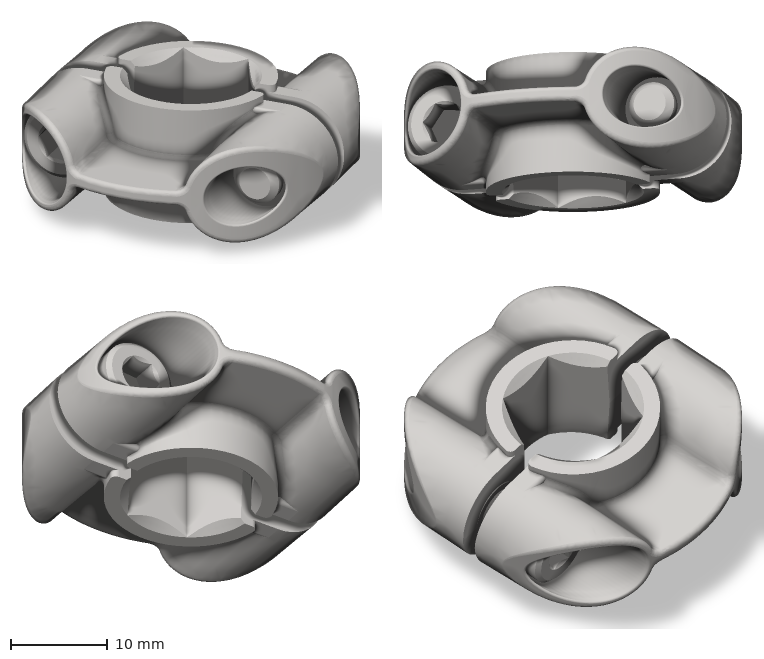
import cadquery as cq
import math

outer_radius = 17.45
hex_flats = 12.7
collar_height = hex_flats
collar_radius = 9.0
collar_corner_fillet = 0.63
lead_in_angle = 45.0
half_gap = 0.77
face_draft = 2.0
wall_draft = 1.0
screw_offset = 11.4
barrel_radius = 5.55
bridge_depth = 3.28
bridge_round = 0.5
web_edge_thickness = 1.45
root_fillet = 1.08
edge_fillet = 0.5
foot_fillet = 0.45
mouth_fillet = 0.17
counterbore_radius = 4.4

screw_radius = 2.45
screw_tip = 9.53
tip_chamfer = 0.7
head_radius = 4.05
head_height = 5.0
head_top = 8.03
head_chamfer_width = 0.5
head_chamfer_height = 0.42
socket_flats = 4.0
socket_depth = 3.0
socket_turn = 5.3
insert_radius = 3.2
insert_length = 6.98

half_height = collar_height / 2
hex_corner_radius = hex_flats / math.sqrt(3)
draft_slope = math.tan(math.radians(wall_draft))
barrel_end_radius = barrel_radius - outer_radius * draft_slope
web_half_thickness = web_edge_thickness / 2 + outer_radius * draft_slope
end_gap = half_gap + half_height * math.tan(math.radians(face_draft))
seat = head_top - head_height
socket_corner_radius = socket_flats / math.sqrt(3)

head_x = -screw_offset
insert_x = screw_offset
tolerance = 0.007


def turned(x, outline):
    """Solid turned about the line parallel to Y through (x, 0, 0), from (radius, y) points."""
    section = cq.Workplane("XY").polyline(outline).close()
    return section.revolve(360, (0, 0, 0), (0, 1, 0)).translate((x, 0, 0))


def rod(x, y_start, y_end, radius):
    return turned(x, [(0, y_start), (radius, y_start), (radius, y_end), (0, y_end)])


def drafted_block(half_width, half_thickness, depth):
    """Block behind the centre plane whose top and bottom close in away from it."""
    end_half = half_thickness - depth * draft_slope
    section = [(0, -half_thickness), (0, half_thickness), (-depth, end_half), (-depth, -end_half)]
    return cq.Workplane("YZ").polyline(section).close().extrude(half_width, both=True)


def edges_at_radius(body, radius, radius_of):
    """Edges of the body along which radius_of(point) stays at the given radius."""
    def stays_at_radius(edge):
        points = [edge.positionAt(t) for t in (0.1, 0.3, 0.5, 0.8)]
        return all(abs(radius_of(p) - radius) < tolerance for p in points)
    return [edge for edge in body.edges().vals() if stays_at_radius(edge)]


def from_bore_axis(point):
    return math.hypot(point.x, point.y)


def web_and_barrels():
    body = drafted_block(screw_offset, web_half_thickness, outer_radius)
    barrel_outline = [(0, 0), (barrel_radius, 0), (barrel_end_radius, -outer_radius), (0, -outer_radius)]
    for x in (head_x, insert_x):
        body = body.union(turned(x, barrel_outline))

    def is_root(edge):
        middle = edge.Center()
        is_long = edge.BoundingBox().ylen > outer_radius / 2
        return is_long and abs(middle.x) < screw_offset and 0 < abs(middle.z) < web_half_thickness

    roots = [edge for edge in body.edges().vals() if is_root(edge)]
    body = body.newObject(roots).fillet(root_fillet)
    disc = cq.Workplane("XY").circle(outer_radius).extrude(half_height, both=True)
    body = body.intersect(disc)
    return body.newObject(edges_at_radius(body, outer_radius, from_bore_axis)).fillet(edge_fillet)


def add_collar(body):
    half_round = cq.Workplane("XY").moveTo(-collar_radius, 0)
    half_round = half_round.threePointArc((0, -collar_radius), (collar_radius, 0)).close()
    body = body.union(half_round.extrude(half_height, both=True))
    foot = [edge for edge in edges_at_radius(body, collar_radius, from_bore_axis)
            if abs(edge.Center().z) < half_height - tolerance and edge.Center().y < -tolerance]
    return body.newObject(foot).fillet(foot_fillet)


def add_bridge(body):
    bridge = drafted_block(screw_offset, barrel_radius, bridge_depth)
    return body.union(bridge.edges("<Y and |X").fillet(bridge_round))


def cut_mating_face(body):
    section = [(0, -half_height), (-end_gap, -half_height), (-half_gap, 0),
               (-end_gap, half_height), (0, half_height)]
    body = body.cut(cq.Workplane("YZ").polyline(section).close().extrude(outer_radius, both=True))

    def is_collar_corner(edge):
        middle = edge.Center()
        at_collar = abs(from_bore_axis(middle) - collar_radius) < tolerance
        return at_collar and middle.y > -end_gap and abs(middle.z) > barrel_radius

    corners = [edge for edge in body.edges().vals() if is_collar_corner(edge)]
    return body.newObject(corners).fillet(collar_corner_fillet)


def cut_hex_bore(body):
    body = body.cut(cq.Workplane("XY").polygon(6, 2 * hex_corner_radius).extrude(half_height, both=True))
    cone_depth = hex_corner_radius * math.tan(math.radians(lead_in_angle))
    for end in (-1, 1):
        mouth = cq.Vector(0, 0, end * half_height)
        body = body.cut(cq.Workplane(
            cq.Solid.makeCone(hex_corner_radius, 0, cone_depth, mouth, cq.Vector(0, 0, -end))))
    return body


def cut_screw_holes(body):
    body = body.cut(rod(head_x, 0, -outer_radius, screw_radius))
    body = body.cut(rod(head_x, -seat, -outer_radius, counterbore_radius))
    body = body.cut(rod(insert_x, 0, -outer_radius, insert_radius))
    for x, radius in ((head_x, counterbore_radius), (insert_x, insert_radius)):
        circles = edges_at_radius(body, radius, lambda point: math.hypot(point.x - x, point.z))
        mouth = [edge for edge in circles
                 if edge.Center().y < -seat - tolerance and edge.BoundingBox().xlen > radius]
        body = body.newObject(mouth).fillet(mouth_fillet)
    return body


def clamp_half():
    body = add_collar(web_and_barrels())
    body = cut_mating_face(add_bridge(body))
    return cut_screw_holes(cut_hex_bore(body))


def socket_screw():
    body = turned(head_x, [
        (0, -head_top),
        (head_radius - head_chamfer_width, -head_top),
        (head_radius, head_chamfer_height - head_top),
        (head_radius, -seat),
        (screw_radius, -seat),
        (screw_radius, screw_tip - tip_chamfer),
        (screw_radius - tip_chamfer, screw_tip),
        (0, screw_tip),
    ])
    socket = cq.Workplane("XZ").polygon(6, 2 * socket_corner_radius).extrude(-socket_depth)
    socket = socket.rotate((0, 0, 0), (0, 1, 0), socket_turn).translate((head_x, -head_top, 0))
    body = body.cut(socket)
    return body.cut(turned(head_x, [(0, -head_top), (socket_corner_radius, -head_top),
                                    (0, socket_corner_radius - head_top)]))


def threaded_insert():
    outer_end = half_gap + insert_length
    body = rod(insert_x, -half_gap, -outer_end, insert_radius)
    body = body.cut(rod(insert_x, -half_gap, -outer_end, screw_radius))
    return body


bodies = []
for turn in (0, 180):
    for body in (clamp_half(), socket_screw(), threaded_insert()):
        bodies.append(body.rotate((0, 0, 0), (0, 0, 1), turn).val())
result = cq.Compound.makeCompound(bodies)